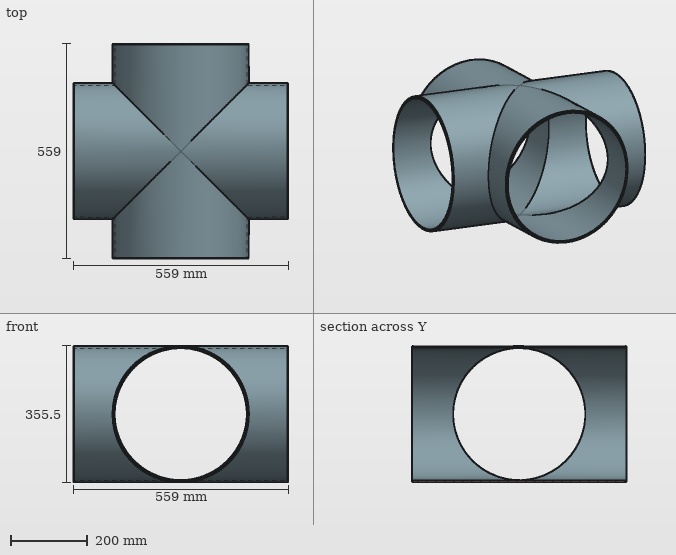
import cadquery as cq

length = 559.0
outer_diameter = 355.5
wall = 6.0
rim_chamfer = 2.0

outer_radius = outer_diameter / 2
bore_radius = outer_radius - wall
half_length = length / 2


def bar_along_x():
    """Solid round bar with both rims chamfered."""
    bar = cq.Workplane("YZ").circle(outer_radius).extrude(half_length, both=True)
    return bar.faces("<X or >X").edges().chamfer(rim_chamfer)


def bore_along_x():
    """Cylinder that clears the pipe from end to end."""
    return cq.Workplane("YZ").circle(bore_radius).extrude(half_length, both=True)


def crossed(bar):
    """Join a bar along X with its copy turned to lie along Y."""
    return bar.union(bar.rotate((0, 0, 0), (0, 0, 1), 90))


result = crossed(bar_along_x()).cut(crossed(bore_along_x()))